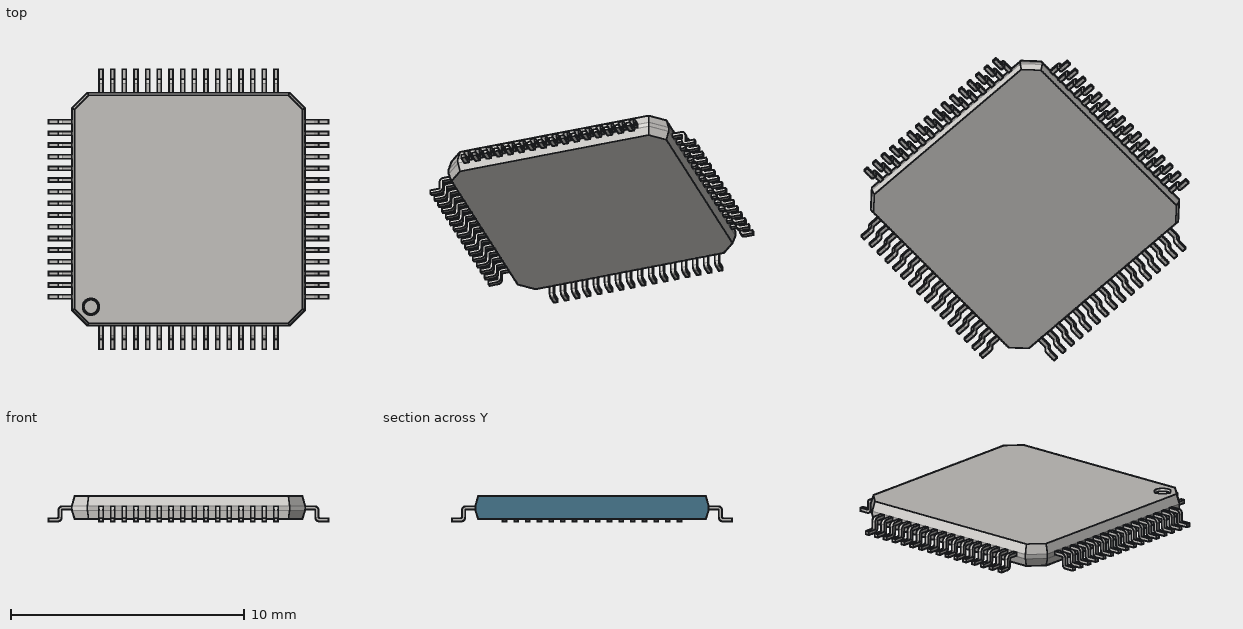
import cadquery as cq
import math

overall_span = 12.0
overall_height = 1.1
standoff = 0.1

body_size = 10.0
corner_cut = 0.67
band_bottom = 0.48
band_top = 0.68
taper_inset = 0.12

leads_per_side = 16
lead_pitch = 0.5
lead_width = 0.18
lead_thickness = 0.15
lead_top = 0.66
shin_outer = 5.58
inner_bend_radius = 0.03
outer_bend_radius = inner_bend_radius + lead_thickness
lead_embed = 0.3

mark_offset = 4.18
mark_diameter = 0.72
mark_floor_diameter = 0.6
mark_depth = 0.1


def tapered_half(start, end):
    """Body half from the band edge at height start to its flat face at height end."""
    height = abs(end - start)
    taper = math.degrees(math.atan2(taper_inset, height))
    half = (
        cq.Workplane("XY")
        .polyline(body_outline())
        .close()
        .extrude(height, taper=taper)
    )
    if end < start:
        half = half.mirror("XY")
    return half.translate((0, 0, start))


def body_outline():
    """Square with its four corners cut at 45 degrees, counter-clockwise."""
    side = body_size / 2
    flat = side - corner_cut
    return [
        (side, -flat),
        (side, flat),
        (flat, side),
        (-flat, side),
        (-side, flat),
        (-side, -flat),
        (-flat, -side),
        (flat, -side),
    ]


def make_body():
    band = (
        cq.Workplane("XY")
        .workplane(offset=band_bottom)
        .polyline(body_outline())
        .close()
        .extrude(band_top - band_bottom)
    )
    upper = tapered_half(band_top, overall_height)
    lower = tapered_half(band_bottom, standoff)
    return band.union(upper).union(lower)


def make_mark():
    return (
        cq.Workplane("XY")
        .workplane(offset=overall_height)
        .center(-mark_offset, -mark_offset)
        .circle(mark_diameter / 2)
        .workplane(offset=-mark_depth)
        .circle(mark_floor_diameter / 2)
        .loft(ruled=True)
    )


def make_lead():
    """One lead on the +X side, centred on the X axis; each bend is a pair of concentric arcs."""
    root = body_size / 2 - lead_embed
    toe = overall_span / 2
    shin_inner = shin_outer - lead_thickness
    outer_diagonal = outer_bend_radius * math.sqrt(0.5)
    inner_diagonal = inner_bend_radius * math.sqrt(0.5)
    upper_x = shin_outer - outer_bend_radius
    upper_z = lead_top - outer_bend_radius
    lower_x = shin_inner + outer_bend_radius
    lower_z = outer_bend_radius
    return (
        cq.Workplane("XZ")
        .moveTo(root, lead_top)
        .lineTo(upper_x, lead_top)
        .threePointArc((upper_x + outer_diagonal, upper_z + outer_diagonal), (shin_outer, upper_z))
        .lineTo(shin_outer, lower_z)
        .threePointArc((lower_x - inner_diagonal, lower_z - inner_diagonal), (lower_x, lead_thickness))
        .lineTo(toe, lead_thickness)
        .lineTo(toe, 0)
        .lineTo(lower_x, 0)
        .threePointArc((lower_x - outer_diagonal, lower_z - outer_diagonal), (shin_inner, lower_z))
        .lineTo(shin_inner, upper_z)
        .threePointArc(
            (upper_x + inner_diagonal, upper_z + inner_diagonal),
            (upper_x, lead_top - lead_thickness),
        )
        .lineTo(root, lead_top - lead_thickness)
        .close()
        .extrude(lead_width / 2, both=True)
    )


def make_leads():
    lead = make_lead().val()
    row_half = (leads_per_side - 1) * lead_pitch / 2
    leads = []
    for quarter_turn in range(4):
        for index in range(leads_per_side):
            placed = lead.translate(cq.Vector(0, index * lead_pitch - row_half, 0))
            leads.append(placed.rotate((0, 0, 0), (0, 0, 1), 90 * quarter_turn))
    return leads


body = make_body().cut(make_mark())
result = cq.Workplane("XY").newObject([body.val().fuse(*make_leads())])